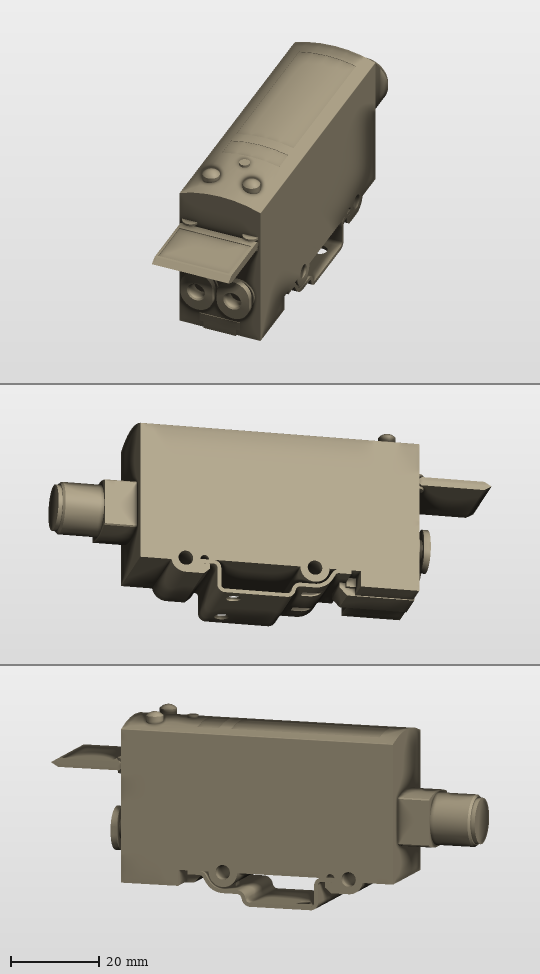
import cadquery as cq
import math


width = 20.0
length = 64.7
front_bottom_z = 3.9
rear_bottom_z = 7.0
ceiling_z = 7.6
crown_z = 41.0
shoulder_z = 39.2
edge_radius = 0.2

lobe_radius = 3.4
lobe_hole_diameter = 3.4
front_lobe_y = 24.2
rear_lobe_y = 54.2
lobe_bottom_z = ceiling_z - lobe_radius
recess_y = 13.5

lip_tip_y = 48.6
lip_root_y = 51.0
lip_corner_z = 5.4
lip_corner_y = 50.0
relief_y = 49.8
relief_radius = 1.0

panel_width = 14.1
panel_depth = 0.1
panel_spans = [(25.3, 60.6), (17.2, 22.3)]
button_diameter = 4.0
button_dome_diameter = 5.2
button_x = 5.0
button_y = 6.4
button_top_z = 42.8
lamp_diameter = 2.5
lamp_y = 13.8
lamp_top_z = 41.6

knob_x = 4.5
knob_z = 15.4
knob_flange_diameter = 8.3
knob_flange_height = 0.5
knob_neck_diameter = 5.2
knob_head_start = 1.5
knob_rim_height = 2.9
knob_height = 3.3
knob_head_width = 8.0
knob_head_length = 10.1
knob_bore_diameter = 3.9
knob_bore_chamfer = 0.3

plug_z = 20.9
plug_block_width = 12.8
plug_block_length = 7.5
plug_shoulder = 5.5
plug_edge_break = 0.3
plug_diameter = 12.0
plug_length = 9.0
plug_chamfer_length = 0.5
plug_chamfer_diameter = 11.2
plug_tip_diameter = 10.6
plug_end_y = 82.7

latch_front_y = -0.2
latch_bottom_z = 3.7
latch_step_z = 5.5
latch_flange_width = 10.0
latch_stem_width = 8.0
latch_flange_end_y = 15.7
latch_tip_y = 17.1
latch_slope_y = 15.3

flap_z = 30.6
flap_width = 18.9
flap_thickness = 2.0
flap_end_y = -16.9
flap_bevel_length = 1.7
flap_back_bevel = 0.7
flap_back_edge = 0.9
flap_panel_width = 17.7
flap_panel_span = (-14.6, -2.7)
flap_panel_depth = 0.2
ear_diameter = 4.0
ear_x = 7.5
ear_reach = 1.5
ear_inner = 1.2
ear_outer = 1.74
hinge_pin_diameter = 0.9
hinge_pin_y = -0.8

sheet = 0.9
bend_radius = 1.3
wall_y = 46.4
riser_bend_radius = 1.6
riser_bottom_y = 29.5
riser_top_y = 28.8
lobe_gap = 0.5
slope_angle = math.radians(58)
bracket_hole_diameter = 3.4
bracket_hole_x = 6.2
bracket_hole_y = 42.2

shelf_z = ceiling_z - lobe_radius - lobe_gap - sheet / 2

lug_width = 2.2
lug_span = (21.5, 26.2)
lug_x = 5.1
lug_top_z = 5.5


def box(x_range, y_range, z_range):
    sizes = [high - low for low, high in (x_range, y_range, z_range)]
    corner = (x_range[0], y_range[0], z_range[0])
    return cq.Workplane("XY").box(*sizes, centered=False).translate(corner)


def centred_box(total_width, y_range, z_range):
    return box((-total_width / 2, total_width / 2), y_range, z_range)


def side_prism(outline, total_width):
    """Extrude a closed YZ outline symmetrically along X."""
    return outline.extrude(total_width / 2, both=True)


def upright_cylinder(diameter, x, y, bottom_z, top_z):
    return cq.Workplane("XY", origin=(x, y, bottom_z)).circle(diameter / 2).extrude(top_z - bottom_z)


def cross_hole(y, z, radius):
    return side_prism(cq.Workplane("YZ").center(y, z).circle(radius), width)


def crowned_prism(lowered):
    """Housing cross-section with an arched top, lowered by the given depth."""
    half = width / 2
    outline = (
        cq.Workplane("XZ")
        .moveTo(-half, 0)
        .lineTo(half, 0)
        .lineTo(half, shoulder_z - lowered)
        .threePointArc((0, crown_z - lowered), (-half, shoulder_z - lowered))
        .close()
    )
    return outline.extrude(-length).edges("|Y").edges(">Z").fillet(edge_radius)


def housing_block():
    lobe_end_y = rear_lobe_y + math.sqrt(lobe_radius**2 - (ceiling_z - rear_bottom_z) ** 2)
    diagonal = lobe_radius * math.sqrt(0.5)
    side = (
        cq.Workplane("YZ")
        .moveTo(0, front_bottom_z)
        .lineTo(recess_y, front_bottom_z)
        .lineTo(recess_y, ceiling_z)
        .lineTo(front_lobe_y - lobe_radius, ceiling_z)
        .threePointArc((front_lobe_y, lobe_bottom_z), (front_lobe_y + lobe_radius, ceiling_z))
        .lineTo(lip_root_y, ceiling_z)
        .lineTo(lip_root_y, ceiling_z - sheet)
        .lineTo(lip_tip_y, ceiling_z - sheet)
        .lineTo(lip_tip_y, lip_corner_z)
        .lineTo(lip_corner_y, lobe_bottom_z)
        .lineTo(rear_lobe_y, lobe_bottom_z)
        .threePointArc((rear_lobe_y + diagonal, ceiling_z - diagonal), (lobe_end_y, rear_bottom_z))
        .lineTo(length, rear_bottom_z)
        .lineTo(length, crown_z)
        .lineTo(0, crown_z)
        .close()
    )
    block = side_prism(side, width).intersect(crowned_prism(0))
    for lobe_y in (front_lobe_y, rear_lobe_y):
        block = block.cut(cross_hole(lobe_y, ceiling_z, lobe_hole_diameter / 2))
    return block.cut(cross_hole(relief_y, ceiling_z, relief_radius))


def panel_recesses():
    windows = cq.Workplane("XY")
    for span in panel_spans:
        windows = windows.union(centred_box(panel_width, span, (shoulder_z, crown_z)))
    return windows.cut(crowned_prism(panel_depth))


def button(x):
    radius = button_diameter / 2
    dome_radius = button_dome_diameter / 2
    rim_z = button_top_z - dome_radius + math.sqrt(dome_radius**2 - radius**2)
    dome = cq.Workplane("XY").sphere(dome_radius).translate((x, button_y, button_top_z - dome_radius))
    stem = upright_cylinder(button_diameter, x, button_y, shoulder_z, rim_z)
    cap = upright_cylinder(button_diameter, x, button_y, rim_z, button_top_z).intersect(dome)
    return stem.union(cap)


def front_plane(x, z, y):
    return cq.Workplane("XZ", origin=(x, y, z))


def knob(x):
    """Knob with a round flange, a neck and an oblong head with a slightly conical face."""
    flange = front_plane(x, knob_z, 0).circle(knob_flange_diameter / 2).extrude(knob_flange_height)
    neck = front_plane(x, knob_z, 0).circle(knob_neck_diameter / 2).extrude(knob_head_start)
    head = (
        front_plane(x, knob_z, -knob_head_start)
        .slot2D(knob_head_length, knob_head_width, 90)
        .extrude(knob_height - knob_head_start)
    )
    rim_radius = knob_head_length / 2
    mouth_radius = knob_bore_diameter / 2 + knob_bore_chamfer
    face_cone = (
        cq.Workplane("XY", origin=(x, 0, knob_z))
        .moveTo(0, 0)
        .lineTo(rim_radius, 0)
        .lineTo(rim_radius, -knob_rim_height)
        .lineTo(mouth_radius, -knob_height)
        .lineTo(0, -knob_height)
        .close()
        .revolve(360, (0, 0), (0, 1))
    )
    return flange.union(neck).union(head.intersect(face_cone))


def knob_bore(x):
    radius = knob_bore_diameter / 2
    bore = front_plane(x, knob_z, 0).circle(radius).extrude(knob_height)
    chamfer = cq.Workplane(
        cq.Solid.makeCone(
            radius + knob_bore_chamfer,
            radius,
            knob_bore_chamfer,
            pnt=cq.Vector(x, -knob_height, knob_z),
            dir=cq.Vector(0, 1, 0),
        )
    )
    return bore.union(chamfer)


def plug():
    half = plug_block_width / 2
    inner = half - plug_edge_break
    side_z = plug_shoulder - plug_edge_break
    block = (
        cq.Workplane("XZ", origin=(0, length, plug_z))
        .moveTo(half, -side_z)
        .lineTo(half, side_z)
        .lineTo(inner, plug_shoulder)
        .threePointArc((0, half), (-inner, plug_shoulder))
        .lineTo(-half, side_z)
        .lineTo(-half, -side_z)
        .lineTo(-inner, -plug_shoulder)
        .threePointArc((0, -half), (inner, -plug_shoulder))
        .close()
        .extrude(-plug_block_length)
    )
    barrel_y = length + plug_block_length
    chamfer_y = barrel_y + plug_length
    step_y = chamfer_y + plug_chamfer_length
    barrel = (
        cq.Workplane("XY", origin=(0, 0, plug_z))
        .moveTo(0, barrel_y)
        .lineTo(plug_diameter / 2, barrel_y)
        .lineTo(plug_diameter / 2, chamfer_y)
        .lineTo(plug_chamfer_diameter / 2, step_y)
        .lineTo(plug_tip_diameter / 2, step_y)
        .lineTo(plug_tip_diameter / 2, plug_end_y)
        .lineTo(0, plug_end_y)
        .close()
        .revolve(360, (0, 0), (0, 1))
    )
    return block.union(barrel)


def latch():
    flange = centred_box(
        latch_flange_width, (latch_front_y, latch_flange_end_y), (latch_step_z, ceiling_z)
    )
    hook = (
        cq.Workplane("YZ")
        .moveTo(latch_front_y, latch_bottom_z)
        .lineTo(latch_slope_y, latch_bottom_z)
        .lineTo(latch_tip_y, latch_step_z)
        .lineTo(latch_tip_y, ceiling_z - sheet)
        .lineTo(latch_front_y, ceiling_z - sheet)
        .close()
    )
    return flange.union(side_prism(hook, latch_stem_width))


def hinge_ears(x):
    """Disc-shaped ears above and below the flap, each with a pin that reaches the flap."""
    ear_y = ear_diameter / 2 - ear_reach
    ears = cq.Workplane("XY")
    for side in (-1, 1):
        inner_z, outer_z = sorted((flap_z + side * ear_inner, flap_z + side * ear_outer))
        pin_low, pin_high = sorted((flap_z + side * flap_thickness / 2, flap_z + side * ear_inner))
        ears = ears.union(upright_cylinder(ear_diameter, x, ear_y, inner_z, outer_z))
        ears = ears.union(upright_cylinder(hinge_pin_diameter, x, hinge_pin_y, pin_low, pin_high))
    return ears


def lug(x, bottom_z, top_z):
    x_range = (x - lug_width / 2, x + lug_width / 2)
    return box(x_range, lug_span, (bottom_z, top_z))


def make_housing():
    body = housing_block().cut(panel_recesses())
    body = body.union(plug()).union(latch())
    body = body.union(upright_cylinder(lamp_diameter, 0, lamp_y, shoulder_z, lamp_top_z))
    for side in (-1, 1):
        body = body.union(button(side * button_x))
        body = body.union(knob(side * knob_x)).cut(knob_bore(side * knob_x))
        body = body.union(hinge_ears(side * ear_x))
        body = body.union(lug(side * lug_x, shelf_z + sheet / 2, lug_top_z))
    return body


def make_flap():
    half = flap_thickness / 2
    bevel_y = flap_end_y + flap_bevel_length
    side = (
        cq.Workplane("YZ", origin=(0, 0, flap_z))
        .moveTo(flap_end_y, 0)
        .lineTo(bevel_y, half)
        .lineTo(-flap_back_bevel, half)
        .lineTo(0, flap_back_edge / 2)
        .lineTo(0, -flap_back_edge / 2)
        .lineTo(-flap_back_bevel, -half)
        .lineTo(bevel_y, -half)
        .close()
    )
    top_z = flap_z + half
    recess = centred_box(flap_panel_width, flap_panel_span, (top_z - flap_panel_depth, top_z))
    return side_prism(side, flap_width).cut(recess)


def rounded_path(start, corners, end):
    """YZ path of straight lines; each corner is (y, z, radius) and becomes a tangent arc."""
    points = [start] + [corner[:2] for corner in corners] + [end]
    path = cq.Workplane("YZ").moveTo(*start)
    for before, (y, z, radius), after in zip(points, corners, points[2:]):
        back = cq.Vector(before[0] - y, before[1] - z).normalized()
        ahead = cq.Vector(after[0] - y, after[1] - z).normalized()
        half_angle = back.getAngle(ahead) / 2
        corner = cq.Vector(y, z)
        tangent = radius / math.tan(half_angle)
        bisector = (back + ahead).normalized()
        middle = corner + bisector * (radius / math.sin(half_angle) - radius)
        first = corner + back * tangent
        last = corner + ahead * tangent
        path = path.lineTo(first.x, first.y).threePointArc((middle.x, middle.y), (last.x, last.y))
    return path.lineTo(*end)


def make_bracket():
    base_z = sheet / 2
    rail_z = ceiling_z - sheet / 2
    wrap_radius = ceiling_z - shelf_z
    wrap_y = front_lobe_y - wrap_radius * math.tan(slope_angle / 2)
    slope_top_y = wrap_y - (rail_z - shelf_z) / math.tan(slope_angle)
    corners = [
        (wall_y, rail_z, bend_radius),
        (wall_y, base_z, bend_radius),
        (riser_bottom_y, base_z, riser_bend_radius),
        (riser_top_y, shelf_z, riser_bend_radius),
        (wrap_y, shelf_z, wrap_radius),
        (slope_top_y, rail_z, bend_radius),
    ]
    path = rounded_path((lip_root_y, rail_z), corners, (latch_flange_end_y, rail_z))
    strip = cq.Workplane("XZ", origin=(0, lip_root_y, rail_z)).rect(width, sheet).sweep(path)
    for side in (-1, 1):
        strip = strip.cut(
            upright_cylinder(bracket_hole_diameter, side * bracket_hole_x, bracket_hole_y, 0, sheet)
        )
        strip = strip.cut(lug(side * lug_x, 0, lug_top_z))
    return strip


housing = make_housing()
flap = make_flap()
bracket = make_bracket()

result = cq.Compound.makeCompound([body.solids().val() for body in (housing, flap, bracket)])